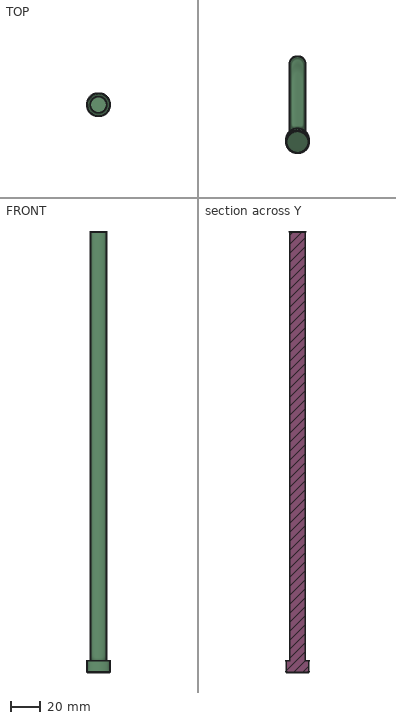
import cadquery as cq

total_length = 300.0
head_diameter = 16.0
head_height = 8.0
shank_diameter = 11.0
neck_fillet = 0.5
head_edge_chamfer = 0.5

head = (
    cq.Workplane("XY")
    .circle(head_diameter / 2)
    .extrude(head_height)
    .faces("<Z")
    .edges()
    .chamfer(head_edge_chamfer)
)

shank = cq.Workplane("XY").circle(shank_diameter / 2).extrude(total_length)

head_top = cq.selectors.NearestToPointSelector((0, 0, head_height))
neck_edge = cq.selectors.RadiusNthSelector(0)
result = head.union(shank).faces(head_top).edges(neck_edge).fillet(neck_fillet)